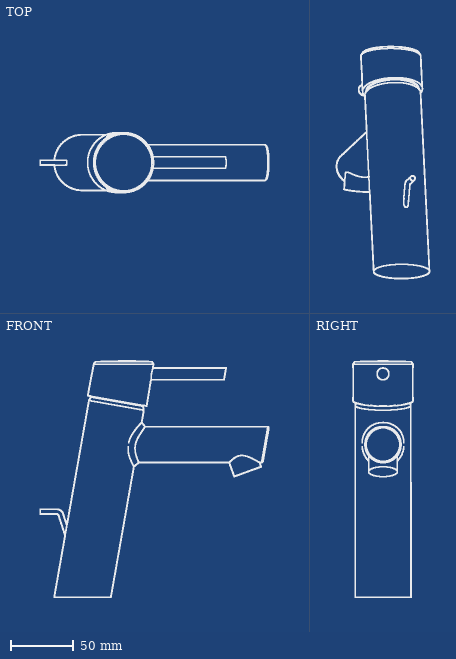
import cadquery as cq
import math

lean_angle = 10.0
lean = math.radians(lean_angle)
body_diameter = 45.0
body_length = 159.6
neck_chamfer_width = 1.2
neck_chamfer_length = 3.0

cap_diameter = 48.24
neck_diameter = body_diameter - 2 * neck_chamfer_width
cap_start = 160.2
top_height = 189.97
cap_rim_height = 189.3
cap_edge_width = 1.3
cap_edge_height = 2.0
cap_edge_start = cap_rim_height - cap_edge_height
neck_overlap = 1.0

lever_diameter = 9.5
lever_height = 179.5
lever_reach = 115.4

spout_diameter = 29.0
spout_height = 122.7
spout_top_reach = 149.93
spout_edge_chamfer = 1.0
spout_root_chamfer = 3.3
nozzle_diameter = 23.15
nozzle_angle = 20.0
nozzle_face_x = 132.7
nozzle_face_z = 100.9
nozzle_length = 18.0

rod_diameter = 4.0
rod_height = 68.8
rod_end_x = -34.1
rod_bend_x = -20.5
rod_bend_radius = 3.2
rod_bend_angle = 72.0
rod_drop_length = 25.0

column_axis = cq.Vector(math.sin(lean), 0, math.cos(lean))


def leaning_cylinder(diameter, start, length):
    """Cylinder along the column axis, starting at a distance from the origin."""
    return cq.Workplane(cq.Solid.makeCylinder(diameter / 2, length, column_axis * start, column_axis))


def axis_x(height):
    """X of the column axis at a height."""
    return height * math.tan(lean)


def make_column():
    """Leaning body with a bevelled upper edge and its foot cut level."""
    foot_allowance = body_diameter
    column = leaning_cylinder(body_diameter, -foot_allowance, body_length + foot_allowance)
    column = column.faces(">Z").chamfer(neck_chamfer_length, neck_chamfer_width)
    ground_size = 4 * body_diameter
    ground = cq.Workplane().box(ground_size, ground_size, ground_size).translate((0, 0, -ground_size / 2))
    return column.cut(ground)


def ring(diameter, center, direction):
    """Circular wire."""
    return cq.Wire.assembleEdges([cq.Edge.makeCircle(diameter / 2, center, direction)])


def make_cap():
    """Sleeve from a ring square to the column up to a level ring, with a bevelled and domed top."""
    vertical = cq.Vector(0, 0, 1)
    level_center = cq.Vector(axis_x(cap_edge_start), 0, cap_edge_start)
    rim_center = cq.Vector(level_center.x, 0, cap_rim_height)
    lower_ring = ring(cap_diameter, column_axis * cap_start, column_axis)
    level_ring = ring(cap_diameter, level_center, vertical)
    rim_ring = ring(cap_diameter - 2 * cap_edge_width, rim_center, vertical)
    sleeve = cq.Workplane(cq.Solid.makeLoft([lower_ring, level_ring], True))
    bevel = cq.Workplane(cq.Solid.makeLoft([level_ring, rim_ring], True))
    neck_length = cap_start - body_length + 2 * neck_overlap
    neck = leaning_cylinder(neck_diameter, body_length - neck_overlap, neck_length)
    return sleeve.union(bevel).union(make_crown(rim_center)).union(neck)


def make_crown(base_center):
    """Shallow spherical dome on the level rim of the cap."""
    rise = top_height - cap_rim_height
    rim_radius = cap_diameter / 2 - cap_edge_width
    sphere_radius = (rim_radius**2 + rise**2) / (2 * rise)
    half_angle = math.asin(rim_radius / sphere_radius) / 2
    arc_middle = (
        sphere_radius * math.sin(half_angle),
        rise - sphere_radius * (1 - math.cos(half_angle)),
    )
    profile = cq.Workplane("XZ").lineTo(rim_radius, 0).threePointArc(arc_middle, (0, rise)).close()
    return profile.revolve(360, (0, 0, 0), (0, 1, 0)).translate(base_center)


def level_bar(diameter, height, top_reach):
    """Bar along +X from the column axis, its end cut parallel to the column axis."""
    radius = diameter / 2
    start_x = axis_x(height)
    end_drop = diameter * math.tan(lean)
    bar = cq.Workplane("YZ", origin=(start_x, 0, height)).circle(radius).extrude(top_reach - start_x)
    cutter = (
        cq.Workplane("XZ", origin=(0, diameter, 0))
        .polyline([
            (top_reach, height + radius),
            (top_reach + end_drop, height + radius),
            (top_reach + end_drop, height - radius),
            (top_reach - end_drop, height - radius),
        ])
        .close()
        .extrude(2 * diameter)
    )
    return bar.cut(cutter)


def make_nozzle():
    """Round outlet under the spout tip, leaning away from the column as it descends."""
    tilt = math.radians(nozzle_angle)
    direction = cq.Vector(-math.sin(tilt), 0, math.cos(tilt))
    face_center = cq.Vector(nozzle_face_x, 0, nozzle_face_z)
    return cq.Workplane(cq.Solid.makeCylinder(nozzle_diameter / 2, nozzle_length, face_center, direction))


def make_rod():
    """Round rod running level, then bending down into the column."""
    bend = math.radians(rod_bend_angle)
    center_z = rod_height - rod_bend_radius

    def on_bend(angle):
        """Point on the bend, at an angle turned from its level end."""
        return (rod_bend_x + rod_bend_radius * math.sin(angle), center_z + rod_bend_radius * math.cos(angle))

    bend_end = on_bend(bend)
    rod_tip = (
        bend_end[0] + rod_drop_length * math.cos(bend),
        bend_end[1] - rod_drop_length * math.sin(bend),
    )
    path = (
        cq.Workplane("XZ")
        .moveTo(rod_end_x, rod_height)
        .lineTo(rod_bend_x, rod_height)
        .threePointArc(on_bend(bend / 2), bend_end)
        .lineTo(*rod_tip)
    )
    return cq.Workplane("YZ", origin=(rod_end_x, 0, rod_height)).circle(rod_diameter / 2).sweep(path)


def make_spout():
    """Level spout with a bevelled tip."""
    spout = level_bar(spout_diameter, spout_height, spout_top_reach)
    return spout.faces(">X").edges().chamfer(spout_edge_chamfer)


def join_spout(column):
    """Column and spout in one, with a bevel around the joint."""
    root_x = axis_x(spout_height)
    joint_box = cq.selectors.BoxSelector(
        (root_x, -spout_diameter, spout_height - spout_diameter),
        (root_x + body_diameter, spout_diameter, spout_height + spout_diameter),
        boundingbox=True,
    )
    return column.union(make_spout()).edges(joint_box).chamfer(spout_root_chamfer)


lever = level_bar(lever_diameter, lever_height, lever_reach)
result = join_spout(make_column())
for part in (make_cap(), lever, make_nozzle(), make_rod()):
    result = result.union(part)